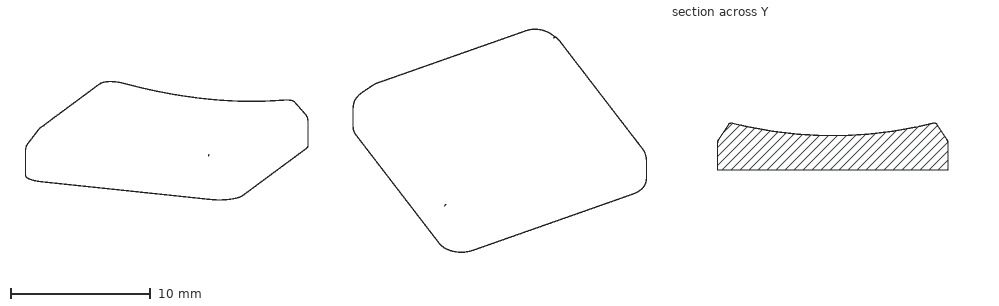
import cadquery as cq

width = 16.5
corner_radius = 1.8
skirt_height = 2.08

crown_inset = 1.0
crown_rise = 1.5
crown_corner_radius = 1.4
crown_width = width - 2 * crown_inset

dish_radius = 29.0
dish_floor = 2.47

shoulder_fillet = 0.58
rim_fillet = 0.25

level_margin = 0.01


def rounded_square(side, radius):
    return cq.Sketch().rect(side, side).vertices().fillet(radius)


def make_skirt():
    return cq.Workplane("XY").placeSketch(rounded_square(width, corner_radius)).extrude(skirt_height)


def make_crown():
    lower = rounded_square(width, corner_radius)
    upper = rounded_square(crown_width, crown_corner_radius)
    upper = upper.moved(cq.Location(cq.Vector(0, 0, crown_rise)))
    return cq.Workplane("XY").workplane(offset=skirt_height).placeSketch(lower, upper).loft(ruled=True)


def make_dish_cutter():
    return (
        cq.Workplane("XZ")
        .center(0, dish_floor + dish_radius)
        .circle(dish_radius)
        .extrude(width, both=True)
    )


def round_shoulder(body):
    """Blend the level ring of edges where the skirt meets the crown."""
    shoulder_band = cq.selectors.BoxSelector(
        (-width, -width, skirt_height - level_margin),
        (width, width, skirt_height + level_margin),
        boundingbox=True,
    )
    return body.edges(shoulder_band).fillet(shoulder_fillet)


def round_rim(body):
    """Blend every edge that borders the dished face."""
    dish_bottom = cq.selectors.NearestToPointSelector((0, 0, dish_floor))
    return body.faces(dish_bottom).edges().fillet(rim_fillet)


body = make_skirt().union(make_crown())
body = round_shoulder(body)
body = body.cut(make_dish_cutter())
result = round_rim(body)